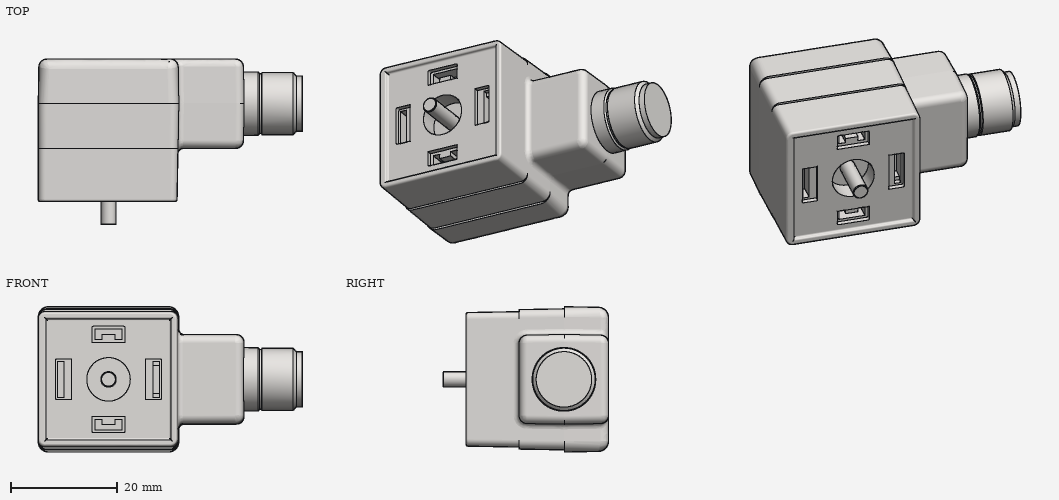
import cadquery as cq
import math


PICK_MARGIN = 0.1

FRONT_DEPTH = 10.0
MIDDLE_DEPTH = 8.5
BACK_DEPTH = 8.35
STEP_Y = FRONT_DEPTH
PARTING_Y = STEP_Y + MIDDLE_DEPTH
BACK_Y = PARTING_Y + BACK_DEPTH
HALF_WIDTH = 13.25
BACK_HALF_HEIGHT = 13.7
MIDDLE_HALF_HEIGHT = 13.3
FRONT_HALF_HEIGHT = 12.77
DRAFT = math.tan(math.radians(1.0))
BACK_CORNER = 1.97
MIDDLE_CORNER = 1.6
FRONT_CORNER = 1.3
BACK_EDGE_ROUND = 1.5
FACE_EDGE_ROUND = 0.4

RECESS_HALF_X = 11.75
RECESS_HALF_Z = 11.38
RECESS_DEPTH = 0.66
RECESS_ROUND = 0.32

WELL_DIA = 8.2
WELL_DEPTH = 4.0
PIN_DIA = 2.9
PIN_REACH = 4.35
PIN_CHAMFER = 0.15

SLOT_INNER = 6.98
SLOT_OUTER = 10.0
SLOT_CORNER = 0.3
SLOT_DEPTH = 1.0
POCKET_DEPTH = 3.0
WIDE_SLOT_LENGTH = 7.65
BLADE_LENGTH = 6.8
BLADE_INNER = 8.37
BLADE_OUTER = 9.6
BLADE_SHELF_LENGTH = 0.77
BLADE_SHELF_DEPTH = 1.0
SHORT_SLOT_LENGTH = 6.3
CLIP_LENGTH = 5.1
CLIP_INNER = 7.55
CLIP_OUTER = 9.5
CLIP_NOTCH_LENGTH = 2.4
CLIP_NOTCH_HEIGHT = 0.9

ARM_END_X = 25.54
ARM_HALF_HEIGHT = 8.45
ARM_ROUND = 1.5
ARM_ROOT_ROUND = 1.0

CONNECTOR_AXIS_INSET = 8.41
CONNECTOR_AXIS_Y = BACK_Y - CONNECTOR_AXIS_INSET
COLLAR_DIA = 12.0
GROOVE_DIA = 11.3
NUT_DIA = 11.75
SPIGOT_DIA = 10.45
COLLAR_END = 28.17
GROOVE_START = 28.47
GROOVE_END = 28.77
NUT_START = 28.92
NUT_END = 34.75
SPIGOT_START = 35.35
CONNECTOR_END = 36.5


def rectangle(y, left, right, half_height):
    """Closed rectangular wire in the plane at the given Y."""
    corners = [
        cq.Vector(left, y, -half_height),
        cq.Vector(right, y, -half_height),
        cq.Vector(right, y, half_height),
        cq.Vector(left, y, half_height),
    ]
    return cq.Wire.makePolygon(corners, close=True)


def drafted_block(y_wide, y_narrow, left, right, half_height, left_draft=0.0):
    """Block whose right, top and bottom faces lean in towards y_narrow; the left face may lean too."""
    length = abs(y_narrow - y_wide)
    lean = DRAFT * length
    wide = rectangle(y_wide, left, right, half_height)
    narrow = rectangle(y_narrow, left + left_draft * length, right - lean, half_height - lean)
    return cq.Workplane(cq.Solid.makeLoft([wide, narrow], True))


def corner_edges(block):
    """The four edges of a drafted block that run from front to back."""
    return block.edges("not(#Y)")


def make_housing():
    step_right = HALF_WIDTH - DRAFT * MIDDLE_DEPTH
    back = drafted_block(PARTING_Y, BACK_Y, -HALF_WIDTH, HALF_WIDTH, BACK_HALF_HEIGHT, DRAFT)
    back = back.faces(">Y").edges("|Z").fillet(BACK_EDGE_ROUND)
    back = back.faces(">Y").edges("|X").fillet(BACK_CORNER)
    middle = drafted_block(PARTING_Y, STEP_Y, -HALF_WIDTH, HALF_WIDTH, MIDDLE_HALF_HEIGHT)
    middle = corner_edges(middle).fillet(MIDDLE_CORNER)
    front = drafted_block(STEP_Y, 0, -HALF_WIDTH, step_right, FRONT_HALF_HEIGHT)
    front = corner_edges(front).fillet(FRONT_CORNER)
    front = front.faces("<Y").edges().fillet(FACE_EDGE_ROUND)
    return back.union(middle).union(front)


def arm_half(y_end, end_face):
    """Half of the arm, from the parting plane to the rounded face at y_end."""
    half = drafted_block(PARTING_Y, y_end, 0, ARM_END_X, ARM_HALF_HEIGHT)
    half = corner_edges(half).edges(">X").fillet(ARM_ROUND)
    return half.faces(end_face).edges("not(<X)").fillet(ARM_ROUND)


def make_arm():
    return arm_half(BACK_Y, ">Y").union(arm_half(STEP_Y, "<Y"))


def make_connector():
    profile = [
        (0, 0),
        (0, COLLAR_DIA / 2),
        (COLLAR_END, COLLAR_DIA / 2),
        (GROOVE_START, GROOVE_DIA / 2),
        (GROOVE_END, GROOVE_DIA / 2),
        (NUT_START, NUT_DIA / 2),
        (NUT_END, NUT_DIA / 2),
        (SPIGOT_START, SPIGOT_DIA / 2),
        (CONNECTOR_END, SPIGOT_DIA / 2),
        (CONNECTOR_END, 0),
    ]
    turned = cq.Workplane("XY").polyline(profile).close().revolve(360, (0, 0, 0), (1, 0, 0))
    return turned.translate((0, CONNECTOR_AXIS_Y, 0))


def pocket(x_min, x_max, z_min, z_max, y_top, depth):
    """Rectangular cutter going back from y_top."""
    size = (x_max - x_min, depth, z_max - z_min)
    box = cq.Workplane("XY").box(*size, centered=False)
    return box.translate((x_min, y_top, z_min))


def cut_recess(body):
    """Shallow rectangular recess whose walls flow into the rim and the floor."""
    recess = pocket(-RECESS_HALF_X, RECESS_HALF_X, -RECESS_HALF_Z, RECESS_HALF_Z, 0, RECESS_DEPTH)
    recess = recess.faces(">Y").edges().fillet(RECESS_ROUND)
    opened = body.cut(recess)
    rim = cq.selectors.BoxSelector(
        (-RECESS_HALF_X - PICK_MARGIN, -PICK_MARGIN, -RECESS_HALF_Z - PICK_MARGIN),
        (RECESS_HALF_X + PICK_MARGIN, PICK_MARGIN, RECESS_HALF_Z + PICK_MARGIN),
    )
    return opened.faces("<Y").edges(rim).fillet(RECESS_ROUND)


def slot(length):
    """Shallow slot on the +X side of the pin, rounded at its outer corners."""
    half = length / 2
    block = pocket(SLOT_INNER, SLOT_OUTER, -half, half, RECESS_DEPTH, SLOT_DEPTH)
    return block.edges("|Y and >X").fillet(SLOT_CORNER)


def blade_opening(shelves):
    """Straight contact slot on the +X side, optionally with a shallow shelf at each end."""
    floor_y = RECESS_DEPTH + SLOT_DEPTH
    half = BLADE_LENGTH / 2
    deep_half = half - BLADE_SHELF_LENGTH if shelves else half
    deep = pocket(BLADE_INNER, BLADE_OUTER, -deep_half, deep_half, floor_y, POCKET_DEPTH)
    shelf = pocket(BLADE_INNER, BLADE_OUTER, -half, half, floor_y, BLADE_SHELF_DEPTH)
    return slot(WIDE_SLOT_LENGTH).union(shelf).union(deep)


def clip_opening():
    """U-shaped contact slot on the +X side, its notch on the side facing the pin."""
    floor_y = RECESS_DEPTH + SLOT_DEPTH
    half = CLIP_LENGTH / 2
    notch_half = CLIP_NOTCH_LENGTH / 2
    notch_end = CLIP_INNER + CLIP_NOTCH_HEIGHT
    full = pocket(CLIP_INNER, CLIP_OUTER, -half, half, floor_y, POCKET_DEPTH)
    notch = pocket(CLIP_INNER, notch_end, -notch_half, notch_half, floor_y, POCKET_DEPTH)
    return slot(SHORT_SLOT_LENGTH).union(full.cut(notch))


def turned_about_pin(shape, angle):
    return shape.rotate((0, 0, 0), (0, 1, 0), angle)


def make_pin():
    root_y = RECESS_DEPTH + WELL_DEPTH
    length = root_y + PIN_REACH
    pin = cq.Workplane("XZ", origin=(0, root_y, 0)).circle(PIN_DIA / 2).extrude(length)
    return pin.faces("<Y").chamfer(PIN_CHAMFER)


def make_well():
    well = cq.Workplane("XZ", origin=(0, RECESS_DEPTH, 0)).circle(WELL_DIA / 2)
    return well.extrude(-WELL_DEPTH)


def join_arm(housing, arm):
    """Arm joined to the housing's right side with a fillet around the seam."""
    joined = housing.union(arm)
    seam = cq.selectors.BoxSelector(
        (HALF_WIDTH - BACK_CORNER, STEP_Y - PICK_MARGIN, -ARM_HALF_HEIGHT),
        (HALF_WIDTH + PICK_MARGIN, BACK_Y, ARM_HALF_HEIGHT),
    )
    return joined.edges(seam).fillet(ARM_ROOT_ROUND)


body = join_arm(make_housing(), make_arm())
body = body.union(make_connector())
body = cut_recess(body).cut(make_well())
body = body.cut(blade_opening(shelves=True))
body = body.cut(turned_about_pin(blade_opening(shelves=False), 180))
for angle in (90, -90):
    body = body.cut(turned_about_pin(clip_opening(), angle))
result = body.union(make_pin())